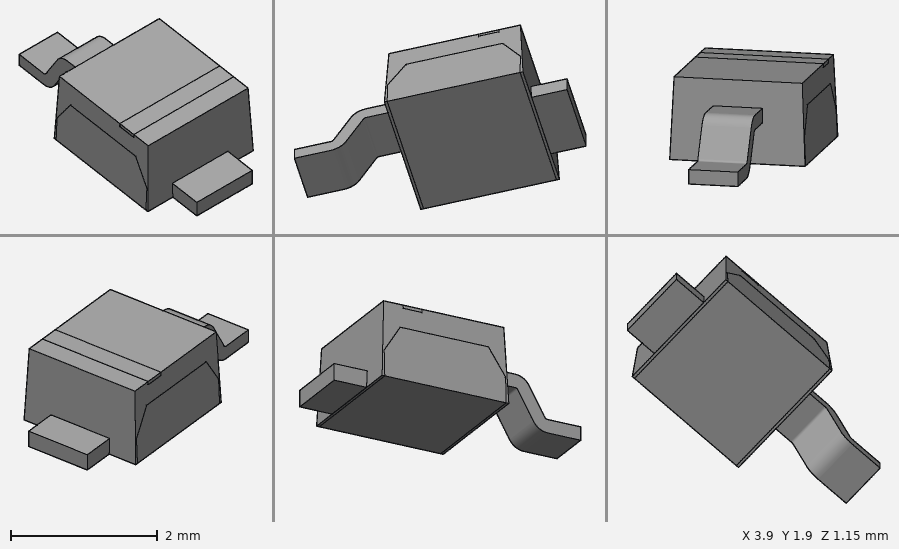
import cadquery as cq
import math

HOUSING_LENGTH = 1.96
HOUSING_WIDTH = 1.9
HOUSING_HEIGHT = 1.15
DRAFT_ANGLE = 2.5

CORE_HALF_LENGTH = 0.94
CORE_TOP_HALF_LENGTH = 0.682
CORE_SHOULDER_HEIGHT = 0.395
CORE_HEIGHT = 0.8

BAND_START = 0.335
BAND_LENGTH = 0.292
BAND_DEPTH = 0.05

FORMED_LEAD_TIP = -2.418
FORMED_LEAD_WIDTH = 0.69
FORMED_LEAD_THICKNESS = 0.203
FORMED_LEAD_TOP = 0.775
FOOT_LENGTH = 0.542
BEND_ANGLE = 60.0
INNER_BEND_RADIUS = 0.05
OUTER_BEND_RADIUS = INNER_BEND_RADIUS + FORMED_LEAD_THICKNESS

FLAT_LEAD_TIP = 1.482
FLAT_LEAD_WIDTH = 1.0
FLAT_LEAD_THICKNESS = 0.25


def make_envelope():
    """Full tapered block that bounds the housing, core and band."""
    return (
        cq.Workplane("XY")
        .rect(HOUSING_LENGTH, HOUSING_WIDTH)
        .extrude(HOUSING_HEIGHT, taper=DRAFT_ANGLE)
    )


def make_core(envelope):
    """Core whose end faces are flush with the tapered housing sides."""
    profile = [
        (-CORE_HALF_LENGTH, 0),
        (CORE_HALF_LENGTH, 0),
        (CORE_HALF_LENGTH, CORE_SHOULDER_HEIGHT),
        (CORE_TOP_HALF_LENGTH, CORE_HEIGHT),
        (-CORE_TOP_HALF_LENGTH, CORE_HEIGHT),
        (-CORE_HALF_LENGTH, CORE_SHOULDER_HEIGHT),
    ]
    prism = cq.Workplane("XZ").polyline(profile).close().extrude(HOUSING_WIDTH / 2, both=True)
    return prism.intersect(envelope)


def make_band(envelope):
    """Shallow strip across the full width, flush with the housing top and sides."""
    strip = (
        cq.Workplane("XY", origin=(BAND_START, 0, HOUSING_HEIGHT))
        .box(BAND_LENGTH, HOUSING_WIDTH, 2 * BAND_DEPTH, centered=(False, True, True))
    )
    return strip.intersect(envelope)


def make_formed_lead(envelope):
    """Bent lead: foot, sloped riser and upper arm ending on the housing wall."""
    slope = math.tan(math.radians(BEND_ANGLE))
    corner_shift = FORMED_LEAD_THICKNESS * math.tan(math.radians(BEND_ANGLE / 2))
    arm_underside = FORMED_LEAD_TOP - FORMED_LEAD_THICKNESS
    riser_run = arm_underside / slope

    foot_inner_x = FORMED_LEAD_TIP + FOOT_LENGTH
    foot_outer_x = foot_inner_x + corner_shift
    arm_outer_x = foot_inner_x + riser_run
    arm_inner_x = foot_outer_x + riser_run

    profile = [
        (FORMED_LEAD_TIP, 0),
        (foot_outer_x, 0),
        (arm_inner_x, arm_underside),
        (0, arm_underside),
        (0, FORMED_LEAD_TOP),
        (arm_outer_x, FORMED_LEAD_TOP),
        (foot_inner_x, FORMED_LEAD_THICKNESS),
        (FORMED_LEAD_TIP, FORMED_LEAD_THICKNESS),
    ]
    lead = cq.Workplane("XZ").polyline(profile).close().extrude(FORMED_LEAD_WIDTH / 2, both=True)

    bends = [
        (foot_inner_x, FORMED_LEAD_THICKNESS, INNER_BEND_RADIUS),
        (foot_outer_x, 0, OUTER_BEND_RADIUS),
        (arm_inner_x, arm_underside, INNER_BEND_RADIUS),
        (arm_outer_x, FORMED_LEAD_TOP, OUTER_BEND_RADIUS),
    ]
    for x, z, radius in bends:
        corner_edge = cq.selectors.NearestToPointSelector((x, 0, z))
        lead = lead.edges("|Y").edges(corner_edge).fillet(radius)
    return lead.cut(envelope)


def make_flat_lead(envelope):
    """Straight lead lying on Z = 0 and ending on the housing wall."""
    bar = cq.Workplane("XY").box(
        FLAT_LEAD_TIP, FLAT_LEAD_WIDTH, FLAT_LEAD_THICKNESS, centered=(False, True, False)
    )
    return bar.cut(envelope)


envelope = make_envelope()
core = make_core(envelope)
band = make_band(envelope)
housing = envelope.cut(core).cut(band)
formed_lead = make_formed_lead(envelope)
flat_lead = make_flat_lead(envelope)

bodies = [housing, core, band, formed_lead, flat_lead]
result = cq.Compound.makeCompound([body.solids().val() for body in bodies])